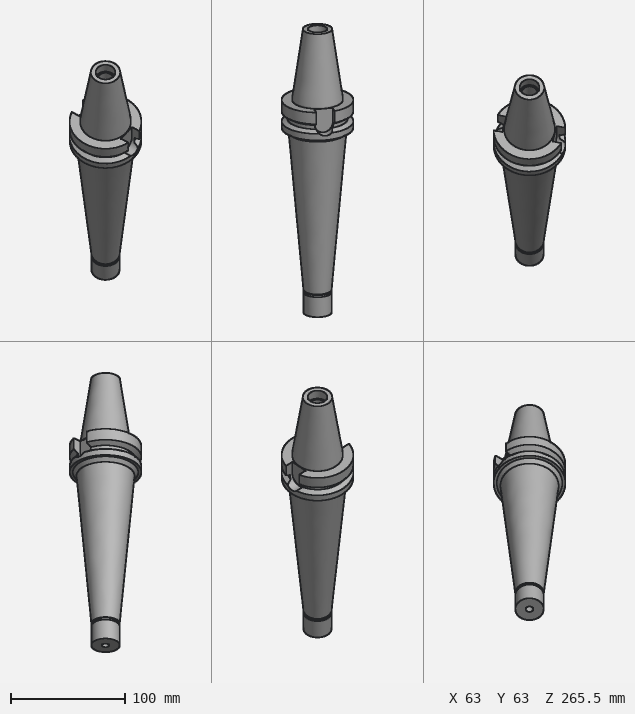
import cadquery as cq

nut_collar_bottom_z = 18.8
nut_top_z = 20.7
nut_gap = 0.8
shank_top_z = 169.3
flange_bottom_z = 173.0
lower_rim_top_z = 179.1
groove_floor_bottom_z = 181.5
groove_floor_top_z = 185.2
upper_rim_bottom_z = 188.2
flange_top_z = 199.0
gauge_line_z = 200.6
total_height = 265.5

flange_radius = 63.0 / 2
groove_radius = 26.5
shank_shoulder_radius = 28.7
shank_top_radius = 25.5
nut_radius = 12.5
nut_collar_step = 0.08
shank_tip_radius = nut_radius
neck_radius = 8.8
taper_ratio = 7 / 24
gauge_radius = 22.3
taper_end_radius = gauge_radius - (total_height - gauge_line_z) * taper_ratio / 2

through_radius = 3.2
counterbore_radius = 8.5
counterbore_depth = 9.0
stud_bore_radius = 7.0
stud_bore_depth = 31.8

slot_width = 16.5
slot_floor_x = 22.5
slot_bottom_z = 177.0


def cylinder(radius, bottom_z, top_z):
    """Cylinder on the Z axis between two heights."""
    return cq.Workplane("XY").workplane(offset=bottom_z).circle(radius).extrude(top_z - bottom_z)


def make_holder_blank():
    """Revolved outside of the holder: neck, shank, grooved flange and taper."""
    shank_tip_z = nut_top_z + nut_gap
    profile = [
        (0, nut_top_z),
        (neck_radius, nut_top_z),
        (neck_radius, shank_tip_z),
        (shank_tip_radius, shank_tip_z),
        (shank_top_radius, shank_top_z),
        (shank_shoulder_radius, flange_bottom_z),
        (flange_radius, flange_bottom_z),
        (flange_radius, lower_rim_top_z),
        (groove_radius, groove_floor_bottom_z),
        (groove_radius, groove_floor_top_z),
        (flange_radius, upper_rim_bottom_z),
        (flange_radius, flange_top_z),
        (gauge_radius, flange_top_z),
        (gauge_radius, gauge_line_z),
        (taper_end_radius, total_height),
        (0, total_height),
    ]
    return cq.Workplane("XZ").polyline(profile).close().revolve(360, (0, 0), (0, 1))


def make_drive_slot(side):
    """Cutter for a round-bottomed slot, open at the top; side is -1 or 1 along X."""
    slot_depth = flange_radius - slot_floor_x
    half_width = slot_width / 2
    arc_center_z = slot_bottom_z + half_width
    return (
        cq.Workplane("YZ")
        .workplane(offset=side * slot_floor_x)
        .moveTo(-half_width, flange_top_z)
        .lineTo(-half_width, arc_center_z)
        .threePointArc((0, slot_bottom_z), (half_width, arc_center_z))
        .lineTo(half_width, flange_top_z)
        .close()
        .extrude(side * slot_depth)
    )


def make_holder():
    """Tool holder with its stepped bore and two opposite drive slots."""
    body = make_holder_blank()
    for side in (-1, 1):
        body = body.cut(make_drive_slot(side))
    body = body.cut(cylinder(through_radius, nut_top_z, total_height))
    body = body.cut(cylinder(stud_bore_radius, total_height - stud_bore_depth, total_height))
    return body.cut(cylinder(counterbore_radius, total_height - counterbore_depth, total_height))


def make_nut():
    """Round clamping nut with a slightly wider collar at its top."""
    body = cylinder(nut_radius, 0, nut_top_z)
    collar = cylinder(nut_radius + nut_collar_step, nut_collar_bottom_z, nut_top_z)
    return body.union(collar).cut(cylinder(through_radius, 0, nut_top_z))


holder = make_holder()
nut = make_nut()

result = cq.Compound.makeCompound([holder.val(), nut.val()])